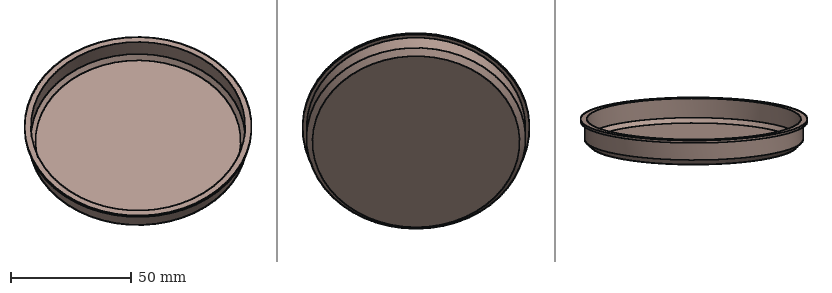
import math

import cadquery as cq

rim_diameter = 94.3
body_diameter = 91.0
cavity_diameter = 89.0
height = 11.0
rim_thickness = 1.0
outer_chamfer = 2.472

wall = (body_diameter - cavity_diameter) / 2
inner_chamfer = outer_chamfer - wall * (2 - math.sqrt(2))


def make_body():
    """Round dish body with a chamfered bottom edge."""
    body = cq.Workplane("XY").circle(body_diameter / 2).extrude(height)
    return body.faces("<Z").chamfer(outer_chamfer)


def make_rim():
    """Thin flange around the open top of the dish."""
    rim = cq.Workplane("XY").workplane(offset=height - rim_thickness)
    return rim.circle(rim_diameter / 2).extrude(rim_thickness)


def make_cavity():
    """Hollow of the dish, with a chamfer around its floor."""
    cavity = cq.Workplane("XY").workplane(offset=wall)
    cavity = cavity.circle(cavity_diameter / 2).extrude(height - wall)
    return cavity.faces("<Z").chamfer(inner_chamfer)


result = make_body().union(make_rim()).cut(make_cavity())